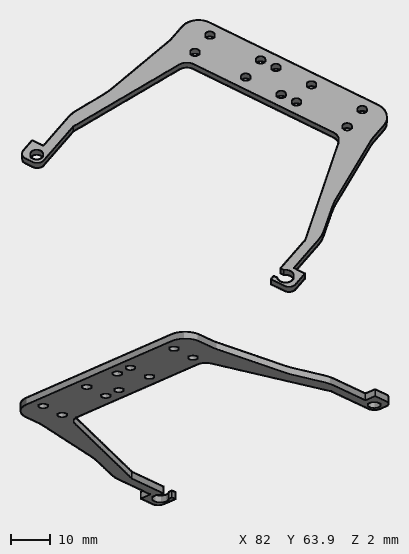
import cadquery as cq

THICKNESS = 2.0
LENGTH_X = 82.0
DEPTH_Y = 63.9
BACK_Y = DEPTH_Y / 2
HALF_X = LENGTH_X / 2

PLATE_HALF_WIDTH = 30.3
PLATE_DEPTH = 13.9
PLATE_CORNER_RADIUS = 5.0
INNER_CORNER_X = 23.2
INNER_CORNER_RADIUS = 3.0

ARM_INNER_X = 34.85
ARM_WIDTH = 2.8
ARM_OUTER_X = ARM_INNER_X + ARM_WIDTH
SHOULDER_DEPTH = 10.3
KNEE_X = 33.95
KNEE_DEPTH = 33.5
KNEE_RADIUS = 20.0
OUTER_BEND_DEPTH = 44.6
OUTER_BEND_RADIUS = 10.0
INNER_BEND_DEPTH = 48.05

TAB_BACK_DEPTH = 57.6
LEFT_TAB_SHORTENING = 0.25
TAB_CORNER_RADIUS = 2.0
TAB_HOLE_X = 37.4
TAB_HOLE_DEPTH = 61.0
LEFT_HOLE_DIAMETER = 3.3
HOOK_DIAMETER = 4.3
HOOK_MOUTH = 3.0

HOLE_DIAMETER = 2.5
HOLE_INSET = 3.5
OUTER_HOLE_X = 22.9
MIDDLE_HOLE_X = OUTER_HOLE_X / 3
EXTRA_HOLE_X = 3.0


def arm_points(side, tab_depth):
    """Outline of one half, from the back corner round the arm to the inner plate corner."""
    corners = [
        (PLATE_HALF_WIDTH, 0),
        (PLATE_HALF_WIDTH, SHOULDER_DEPTH),
        (KNEE_X, KNEE_DEPTH),
        (ARM_OUTER_X, OUTER_BEND_DEPTH),
        (ARM_OUTER_X, TAB_BACK_DEPTH),
        (HALF_X, TAB_BACK_DEPTH),
        (HALF_X, tab_depth),
        (ARM_INNER_X, tab_depth),
        (ARM_INNER_X, INNER_BEND_DEPTH),
        (INNER_CORNER_X, PLATE_DEPTH),
    ]
    return [(side * x, BACK_Y - depth) for x, depth in corners]


def round_corner(body, x, depth, radius):
    """Round the upright edge standing at the given place."""
    edge = cq.selectors.NearestToPointSelector((x, BACK_Y - depth, THICKNESS / 2))
    return body.edges("|Z").edges(edge).fillet(radius)


def drill(body, places, diameter):
    """Cut through holes at (x, depth) places."""
    centers = [(x, BACK_Y - depth) for x, depth in places]
    holes = cq.Workplane("XY").pushPoints(centers).circle(diameter / 2).extrude(THICKNESS)
    return body.cut(holes)


left_tab_depth = DEPTH_Y - LEFT_TAB_SHORTENING
outline = arm_points(1, DEPTH_Y) + arm_points(-1, left_tab_depth)[::-1]
bracket = cq.Workplane("XY").polyline(outline).close().extrude(THICKNESS)

for side in (-1, 1):
    for x, depth, radius in [
        (PLATE_HALF_WIDTH, 0, PLATE_CORNER_RADIUS),
        (PLATE_HALF_WIDTH, SHOULDER_DEPTH, OUTER_BEND_RADIUS),
        (KNEE_X, KNEE_DEPTH, KNEE_RADIUS),
        (ARM_OUTER_X, OUTER_BEND_DEPTH, OUTER_BEND_RADIUS),
        (INNER_CORNER_X, PLATE_DEPTH, INNER_CORNER_RADIUS),
    ]:
        bracket = round_corner(bracket, side * x, depth, radius)

bracket = round_corner(bracket, HALF_X, DEPTH_Y, TAB_CORNER_RADIUS)
for x in (-HALF_X, -ARM_INNER_X):
    bracket = round_corner(bracket, x, left_tab_depth, TAB_CORNER_RADIUS)

common_x = [-OUTER_HOLE_X, -MIDDLE_HOLE_X, MIDDLE_HOLE_X, OUTER_HOLE_X]
back_row = [(x, HOLE_INSET) for x in common_x + [-EXTRA_HOLE_X]]
front_row = [(x, PLATE_DEPTH - HOLE_INSET) for x in common_x + [EXTRA_HOLE_X]]
bracket = drill(bracket, back_row + front_row, HOLE_DIAMETER)

bracket = drill(bracket, [(-TAB_HOLE_X, TAB_HOLE_DEPTH)], LEFT_HOLE_DIAMETER)
bracket = drill(bracket, [(TAB_HOLE_X, TAB_HOLE_DEPTH)], HOOK_DIAMETER)
mouth_length = TAB_HOLE_X - ARM_INNER_X
mouth = (
    cq.Workplane("XY")
    .center(ARM_INNER_X + mouth_length / 2, BACK_Y - TAB_HOLE_DEPTH)
    .rect(mouth_length, HOOK_MOUTH)
    .extrude(THICKNESS)
)
result = bracket.cut(mouth)